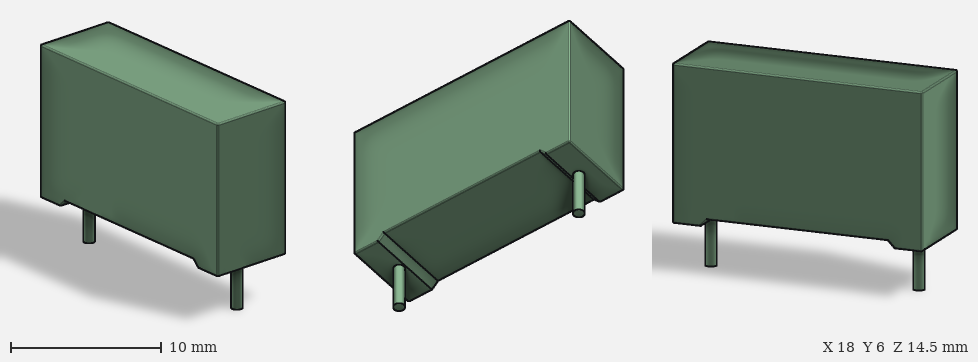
import cadquery as cq


box_length = 18.0
box_width = 6.0
overall_height = 14.5
edge_radius = 0.1

lead_diameter = 0.8
lead_spacing = 15.0
lead_length = 3.5
lead_embedding = 0.9

foot_length = 2.0
relief_depth = 0.5

box_height = overall_height - lead_length
half_length = box_length / 2
half_width = box_width / 2


def make_box():
    """Box with rounded outer edges; the bends at the ramp ends stay sharp."""
    foot_end = half_length - foot_length
    relief_end = foot_end - relief_depth
    outline = [
        (-half_length, 0),
        (-foot_end, 0),
        (-relief_end, relief_depth),
        (relief_end, relief_depth),
        (foot_end, 0),
        (half_length, 0),
        (half_length, box_height),
        (-half_length, box_height),
    ]
    box = cq.Workplane("XZ").polyline(outline).close().extrude(half_width, both=True)
    outer_edges = box.faces("<X or >X or <Y or >Y").edges()
    return outer_edges.fillet(edge_radius)


def make_leads():
    """Two round leads hanging below the feet."""
    return (
        cq.Workplane("XY")
        .workplane(offset=-lead_length)
        .pushPoints([(-lead_spacing / 2, 0), (lead_spacing / 2, 0)])
        .circle(lead_diameter / 2)
        .extrude(lead_length + lead_embedding)
    )


result = make_box().union(make_leads())